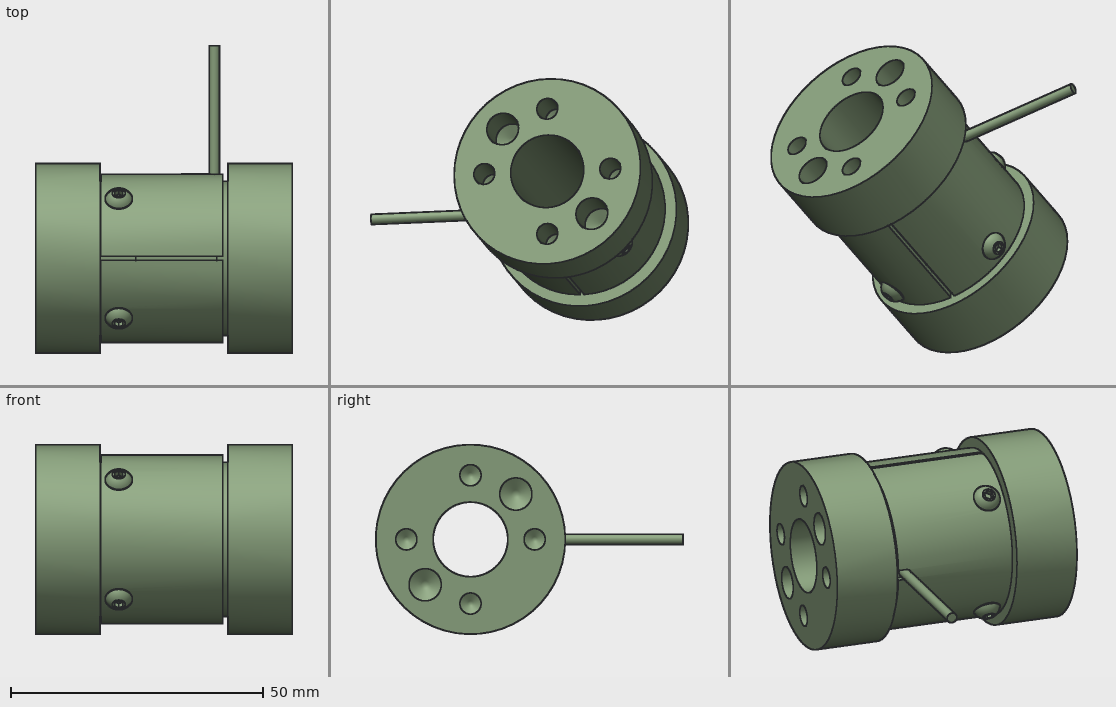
import cadquery as cq
import math


LENGTH = 50.8
FLANGE_DIAMETER = 37.6
FLANGE_THICKNESS = 12.7
HUB_DIAMETER = 30.65
BORE_DIAMETER = 14.75
NECK_DIAMETER = 25.6
NECK_START_X = -5.6
NECK_END_X = 10.4

HOLE_CIRCLE_DIAMETER = 25.4
BOLT_HOLE_DIAMETER = 4.2
DOWEL_HOLE_DIAMETER = 6.4
HOLE_DEPTH = 9.75
DRILL_POINT_ANGLE = 118.0
BOLT_HOLE_ANGLES = (0, 90, 180, 270)
DOWEL_HOLE_ANGLES = (45, 225)

COVER_DIAMETER = 33.45
COVER_LEFT_GAP = 0.2
COVER_RIGHT_GAP = 1.05
COVER_SPLIT = 0.8

SCREW_HEAD_DIAMETER = 5.4
SCREW_HEAD_HEIGHT = 1.5
SCREW_SEAT_DEPTH = 0.25
SCREW_TOP_DIAMETER = 2.55
SOCKET_ACROSS_FLATS = 1.65
SOCKET_DEPTH = 1.2
SOCKET_TURN = 30
SCREW_X = -8.95
SCREW_TILT = 45

CABLE_DIAMETER = 2.1
CABLE_X = 10.0
OVERALL_WIDTH = 60.9
CABLE_END_Y = OVERALL_WIDTH - FLANGE_DIAMETER / 2

INNER_FACE_X = LENGTH / 2 - FLANGE_THICKNESS
COVER_START_X = -INNER_FACE_X + COVER_LEFT_GAP
COVER_END_X = INNER_FACE_X - COVER_RIGHT_GAP


def x_cylinder(diameter, start_x, end_x):
    """Cylinder on the shaft axis between two X positions."""
    return cq.Workplane("YZ", origin=(start_x, 0, 0)).circle(diameter / 2).extrude(end_x - start_x)


def flange_hole(diameter, angle):
    """Cutter for a blind drilled hole in the -X end face, at an angle measured from +Y towards +Z."""
    radius = diameter / 2
    point_depth = radius / math.tan(math.radians(DRILL_POINT_ANGLE / 2))
    cutter = (
        cq.Workplane("XY")
        .polyline([(0, 0), (0, radius), (HOLE_DEPTH, radius), (HOLE_DEPTH + point_depth, 0)])
        .close()
        .revolve(360, (0, 0, 0), (1, 0, 0))
    )
    return (
        cutter.translate((-LENGTH / 2, HOLE_CIRCLE_DIAMETER / 2, 0))
        .rotate((0, 0, 0), (1, 0, 0), angle)
    )


def make_shaft():
    """Two flanges joined by a necked hub, bored through, with both end faces drilled."""
    body = x_cylinder(HUB_DIAMETER, -LENGTH / 2, LENGTH / 2)
    body = body.union(x_cylinder(FLANGE_DIAMETER, -LENGTH / 2, -INNER_FACE_X))
    body = body.union(x_cylinder(FLANGE_DIAMETER, INNER_FACE_X, LENGTH / 2))

    neck_groove = x_cylinder(HUB_DIAMETER, NECK_START_X, NECK_END_X)
    neck_groove = neck_groove.cut(x_cylinder(NECK_DIAMETER, NECK_START_X, NECK_END_X))
    body = body.cut(neck_groove)
    body = body.cut(x_cylinder(BORE_DIAMETER, -LENGTH / 2, LENGTH / 2))

    holes = [flange_hole(BOLT_HOLE_DIAMETER, angle) for angle in BOLT_HOLE_ANGLES]
    holes += [flange_hole(DOWEL_HOLE_DIAMETER, angle) for angle in DOWEL_HOLE_ANGLES]
    for hole in holes:
        body = body.cut(hole).cut(hole.mirror("YZ"))
    return body


def screw_head(angle):
    """Domed head with a hexagon socket, at an angle measured from +Y towards +Z."""
    rim = SCREW_HEAD_DIAMETER / 2
    top = SCREW_TOP_DIAMETER / 2
    centre_height = (top**2 + SCREW_HEAD_HEIGHT**2 - rim**2) / (2 * SCREW_HEAD_HEIGHT)
    dome_radius = math.hypot(rim, centre_height)
    mid_height = SCREW_HEAD_HEIGHT / 2
    mid_radius = math.sqrt(dome_radius**2 - (mid_height - centre_height) ** 2)
    head = (
        cq.Workplane("XY")
        .moveTo(0, -SCREW_SEAT_DEPTH)
        .lineTo(rim, -SCREW_SEAT_DEPTH)
        .lineTo(rim, 0)
        .threePointArc((mid_radius, mid_height), (top, SCREW_HEAD_HEIGHT))
        .lineTo(0, SCREW_HEAD_HEIGHT)
        .close()
        .revolve(360, (0, 0, 0), (0, 1, 0))
    )
    socket = (
        cq.Workplane("XZ", origin=(0, SCREW_HEAD_HEIGHT, 0))
        .polygon(6, SOCKET_ACROSS_FLATS / math.cos(math.pi / 6))
        .extrude(SOCKET_DEPTH)
        .rotate((0, 0, 0), (0, 1, 0), SOCKET_TURN)
    )
    return (
        head.cut(socket)
        .translate((SCREW_X, COVER_DIAMETER / 2, 0))
        .rotate((0, 0, 0), (1, 0, 0), angle)
    )


def make_cover_half(side):
    """Half sleeve on the +Y (side = 1) or -Y (side = -1) side, with its two screw heads."""
    half = x_cylinder(COVER_DIAMETER, COVER_START_X, COVER_END_X)
    half = half.cut(x_cylinder(HUB_DIAMETER, COVER_START_X, COVER_END_X))
    keep = (
        cq.Workplane("XY")
        .box(LENGTH, COVER_DIAMETER, COVER_DIAMETER)
        .translate((0, side * (COVER_DIAMETER + COVER_SPLIT) / 2, 0))
    )
    half = half.intersect(keep)
    middle_angle = 90 - 90 * side
    for tilt in (-SCREW_TILT, SCREW_TILT):
        half = half.union(screw_head(middle_angle + tilt))
    return half


def cable_notch():
    """Cutter for the round-ended notch from the cable to the +X end of the cover."""
    round_end = cq.Workplane("XZ").center(CABLE_X, 0).circle(CABLE_DIAMETER / 2).extrude(-COVER_DIAMETER)
    run_out = COVER_END_X - CABLE_X
    channel = (
        cq.Workplane("XZ")
        .center(CABLE_X + run_out / 2, 0)
        .rect(run_out, CABLE_DIAMETER)
        .extrude(-COVER_DIAMETER)
    )
    return round_end.union(channel)


def make_cable():
    """Straight round cable starting at the hub surface and running along +Y."""
    start_y = HUB_DIAMETER / 2
    return (
        cq.Workplane("XZ", origin=(CABLE_X, start_y, 0))
        .circle(CABLE_DIAMETER / 2)
        .extrude(start_y - CABLE_END_Y)
    )


shaft = make_shaft()
covers = {side: make_cover_half(side) for side in (-1, 1)}
covers[1] = covers[1].cut(cable_notch())
cable = make_cable()

result = cq.Compound.makeCompound([shaft.val(), covers[-1].val(), covers[1].val(), cable.val()])